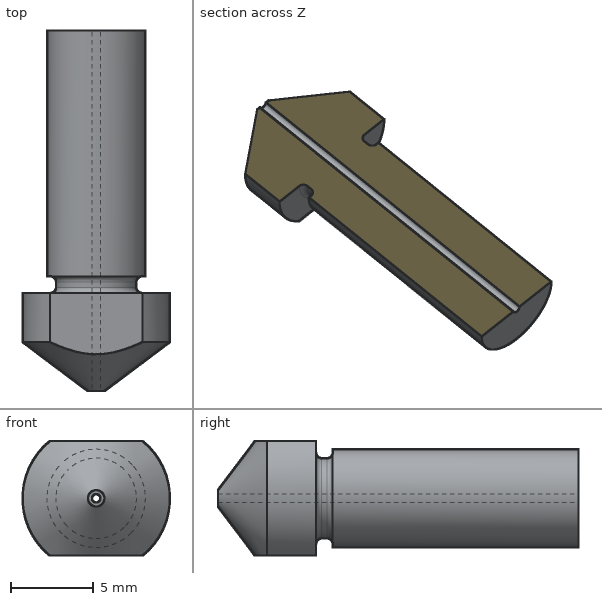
import cadquery as cq
import math

overall_length = 22.0
shank_diameter = 6.0
shank_length = 15.0
neck_diameter = 4.91
neck_length = 1.0
neck_fillet = neck_length / 3
head_diameter = 9.0
head_across_flats = 7.0
head_length = 3.0
tip_diameter = 1.0
orifice_diameter = 0.5

shank_start = overall_length - shank_length
head_end = shank_start - neck_length
cone_length = head_end - head_length


def turned_body():
    """Revolve the half profile of cone, head, filleted neck and shank about Y."""
    neck_radius = neck_diameter / 2
    shoulder_radius = neck_radius + neck_fillet
    arc_offset = neck_fillet * (1 - math.sin(math.pi / 4))
    profile = (
        cq.Workplane("XY")
        .moveTo(0, 0)
        .lineTo(tip_diameter / 2, 0)
        .lineTo(head_diameter / 2, cone_length)
        .lineTo(head_diameter / 2, head_end)
        .lineTo(shoulder_radius, head_end)
        .threePointArc(
            (neck_radius + arc_offset, head_end + arc_offset),
            (neck_radius, head_end + neck_fillet),
        )
        .lineTo(neck_radius, shank_start - neck_fillet)
        .threePointArc(
            (neck_radius + arc_offset, shank_start - arc_offset),
            (shoulder_radius, shank_start),
        )
        .lineTo(shank_diameter / 2, shank_start)
        .lineTo(shank_diameter / 2, overall_length)
        .lineTo(0, overall_length)
        .close()
    )
    return profile.revolve(360, (0, 0, 0), (0, 1, 0))


def flats_envelope():
    """Slab whose top and bottom faces form the two wrench flats on the head."""
    return cq.Workplane("XY").box(
        head_diameter, overall_length, head_across_flats, centered=(True, False, True)
    )


def orifice():
    """Bore running the full length along the nozzle axis."""
    return cq.Workplane("XZ").circle(orifice_diameter / 2).extrude(-overall_length)


result = turned_body().intersect(flats_envelope()).cut(orifice())